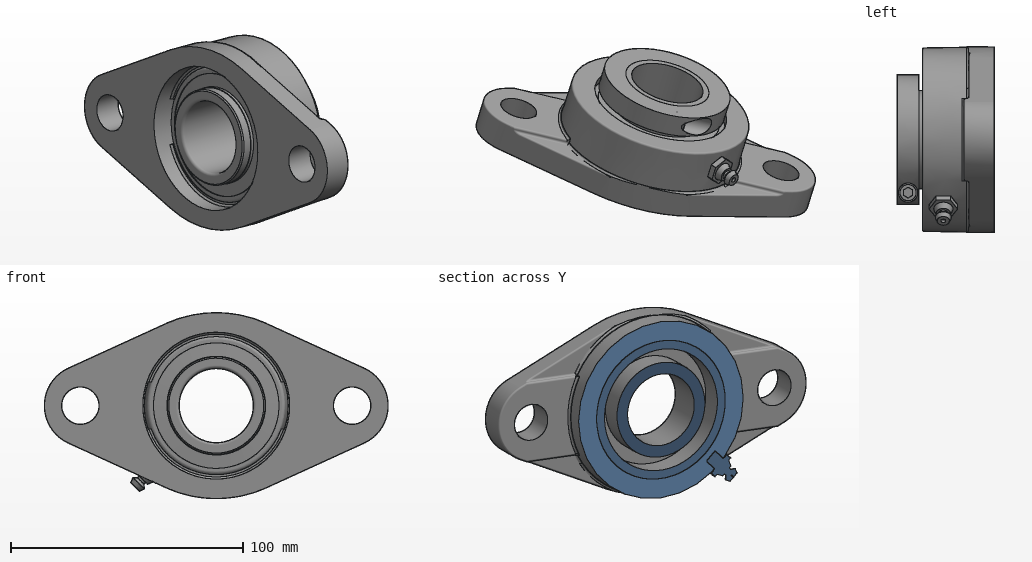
import cadquery as cq
import math


LENGTH = 148.0
HEIGHT = 80.0
EAR_RADIUS = 17.8
MIDDLE_ARC_RADIUS = 52.2
WEB_THICKNESS = 11.0
EAR_THICKNESS = 13.0
FLANGE_EDGE_FILLET = 0.7
STEP_FILLET = 0.9
BOLT_SPACING = 116.9
BOLT_HOLE_DIAMETER = 16.0

BARREL_BASE_DIAMETER = 79.9
BARREL_REAR_DIAMETER = 79.0
BARREL_REAR = 31.0
BARREL_EDGE_FILLET = 0.9
ROOT_FILLET = 0.9

RECESS_DIAMETER = 63.2
RECESS_DEPTH = 8.9
RECESS_CORNER_CHAMFER = 0.9
LOADING_SLOT_HEIGHT = 20.3

BEARING_CENTRE = 17.8
SPHERE_DIAMETER = 62.0
OUTER_RING_WIDTH = 20.0
OUTER_RING_BORE = 54.0
OUTER_RING_EDGE_FILLET = 1.3
INNER_RING_DIAMETER = 42.5
INNER_RING_NOSE_DIAMETER = 42.0
INNER_RING_NOSE_END = 6.2
INNER_RING_BORE = 31.8
INNER_RING_FRONT = 1.6
INNER_RING_CHAMFER = 0.6
INNER_RING_BORE_FILLET = 1.3
SEAL_SETBACK = 0.5
SEAL_THICKNESS = 1.8

COLLAR_DIAMETER = 56.0
COLLAR_FRONT = 32.4
COLLAR_REAR = 41.7
COLLAR_BORE = 37.0

SCREW_DROP = 22.8
POCKET_DIAMETER = 8.3
POCKET_FLOOR_X = -4.5
SCREW_HEAD_DIAMETER = 7.0
SCREW_HEAD_LENGTH = 4.5
SCREW_SHANK_DIAMETER = 4.0
SCREW_SHANK_LENGTH = 13.3
SCREW_SOCKET_FLATS = 4.0
SCREW_SOCKET_DEPTH = 2.2

FITTING_Y = 21.9
FITTING_ANGLE = 45.0
FITTING_SHANK_DIAMETER = 5.9
FITTING_SHANK_START = 34.0
FITTING_HEX_FLATS = 10.7
FITTING_HEX_START = 39.5
FITTING_HEX_END = 42.2
FITTING_CONE_DIAMETER = 8.3
FITTING_CONE_TOP_DIAMETER = 6.0
FITTING_CONE_END = 44.8
FITTING_NECK_DIAMETER = 4.0
FITTING_NECK_END = 45.9
FITTING_HEAD_DIAMETER = 7.0
FITTING_HEAD_MIDDLE = 47.2
FITTING_TIP_DIAMETER = 5.3
FITTING_TIP = 49.5
FITTING_HOLE_DIAMETER = 2.0
FITTING_HOLE_DEPTH = 1.5


def plane_at(y):
    """Plane across the bearing axis, with its normal along +Y and its first axis along +X."""
    return cq.Workplane(cq.Plane(origin=(0, y, 0), xDir=(1, 0, 0), normal=(0, 1, 0)))


def disc(diameter, start, end):
    return plane_at(start).circle(diameter / 2).extrude(end - start)


def tube(outer, inner, start, end):
    return plane_at(start).circle(outer / 2).circle(inner / 2).extrude(end - start)


def flange_outline(thickness):
    """Two round ears joined to shallow middle arcs by tangent straight sides."""
    ear_x = LENGTH / 2 - EAR_RADIUS
    arc_drop = MIDDLE_ARC_RADIUS - HEIGHT / 2
    centre_distance = math.hypot(ear_x, arc_drop)
    normal_angle = math.atan2(arc_drop, ear_x) + math.acos(
        (MIDDLE_ARC_RADIUS - EAR_RADIUS) / centre_distance
    )
    across = math.cos(normal_angle)
    along = math.sin(normal_angle)
    middle_x = MIDDLE_ARC_RADIUS * across
    middle_z = MIDDLE_ARC_RADIUS * along - arc_drop
    side_x = ear_x + EAR_RADIUS * across
    side_z = EAR_RADIUS * along
    return (
        plane_at(0)
        .moveTo(-middle_x, middle_z)
        .threePointArc((0, HEIGHT / 2), (middle_x, middle_z))
        .lineTo(side_x, side_z)
        .threePointArc((LENGTH / 2, 0), (side_x, -side_z))
        .lineTo(middle_x, -middle_z)
        .threePointArc((0, -HEIGHT / 2), (-middle_x, -middle_z))
        .lineTo(-side_x, -side_z)
        .threePointArc((-LENGTH / 2, 0), (-side_x, side_z))
        .close()
        .extrude(thickness)
    )


def strip_band(thickness):
    """Block as high as the ears that runs the length of the flange, on both sides of Y = 0."""
    return cq.Workplane("XY").box(LENGTH, 2 * thickness, 2 * EAR_RADIUS)


def make_flange():
    """Flange with a thicker strip from ear to ear, rounded at its steps and rear outline."""
    web = cq.Workplane("XY").box(LENGTH, 2 * WEB_THICKNESS, HEIGHT)
    strip = strip_band(EAR_THICKNESS)
    stepped = web.union(strip)
    step_zone = cq.selectors.BoxSelector(
        (-LENGTH, WEB_THICKNESS / 2, -EAR_RADIUS - STEP_FILLET),
        (LENGTH, LENGTH, EAR_RADIUS + STEP_FILLET),
    )
    stepped = stepped.edges("|X").edges(step_zone).fillet(STEP_FILLET)
    flange = flange_outline(EAR_THICKNESS).intersect(stepped)
    rear_outline = flange.edges("not (|X or |Y or <Y)")
    return rear_outline.fillet(FLANGE_EDGE_FILLET)


def root_fillet(floor):
    """Ring that rounds the corner between the barrel and a flange face at the given height."""
    radius = BARREL_BASE_DIAMETER / 2
    corner = radius + ROOT_FILLET
    top = floor + ROOT_FILLET
    sag = ROOT_FILLET * (1 - math.sqrt(0.5))
    return (
        cq.Workplane("XY")
        .moveTo(radius - ROOT_FILLET, 0)
        .lineTo(corner, 0)
        .lineTo(corner, floor)
        .threePointArc((radius + sag, floor + sag), (radius, top))
        .lineTo(radius - ROOT_FILLET, top)
        .close()
        .revolve(360, (0, 0, 0), (0, 1, 0))
    )


def make_barrel():
    barrel = (
        cq.Workplane("XY")
        .lineTo(BARREL_BASE_DIAMETER / 2, 0)
        .lineTo(BARREL_REAR_DIAMETER / 2, BARREL_REAR)
        .lineTo(0, BARREL_REAR)
        .close()
        .revolve(360, (0, 0, 0), (0, 1, 0))
    )
    return barrel.faces(">Y").edges().fillet(BARREL_EDGE_FILLET)


def spherical_radius(y):
    """Radius of the bearing's sphere at a position along the axis."""
    return math.sqrt((SPHERE_DIAMETER / 2) ** 2 - (y - BEARING_CENTRE) ** 2)


def bearing_seat():
    """Stepped and spherical space inside the housing, with its two loading slots."""
    ring_rear = BEARING_CENTRE + OUTER_RING_WIDTH / 2
    recess = RECESS_DIAMETER / 2
    chamfer_start = RECESS_DEPTH - RECESS_CORNER_CHAMFER
    front_lip = spherical_radius(RECESS_DEPTH)
    rear_bore = spherical_radius(ring_rear)
    seat = (
        cq.Workplane("XY")
        .lineTo(recess, 0)
        .lineTo(recess, chamfer_start)
        .lineTo(recess - RECESS_CORNER_CHAMFER, RECESS_DEPTH)
        .lineTo(front_lip, RECESS_DEPTH)
        .threePointArc((SPHERE_DIAMETER / 2, BEARING_CENTRE), (rear_bore, ring_rear))
        .lineTo(rear_bore, BARREL_REAR)
        .lineTo(0, BARREL_REAR)
        .close()
        .revolve(360, (0, 0, 0), (0, 1, 0))
    )
    slot_band = cq.Workplane("XY").box(LENGTH, 2 * BEARING_CENTRE, LOADING_SLOT_HEIGHT)
    slots = disc(RECESS_DIAMETER, chamfer_start, BEARING_CENTRE).intersect(slot_band)
    return seat.union(slots)


def make_housing(fitting):
    web_root = root_fillet(WEB_THICKNESS).intersect(flange_outline(BARREL_REAR))
    strip_root = root_fillet(EAR_THICKNESS).intersect(strip_band(BARREL_REAR))
    body = make_flange().union(web_root).union(strip_root).union(make_barrel())
    bolt_holes = (
        plane_at(0)
        .pushPoints([(-BOLT_SPACING / 2, 0), (BOLT_SPACING / 2, 0)])
        .circle(BOLT_HOLE_DIAMETER / 2)
        .extrude(EAR_THICKNESS)
    )
    return body.cut(bolt_holes).cut(bearing_seat()).cut(fitting)


def make_outer_ring():
    front = BEARING_CENTRE - OUTER_RING_WIDTH / 2
    rear = BEARING_CENTRE + OUTER_RING_WIDTH / 2
    face_radius = spherical_radius(front)
    blank = (
        cq.Workplane("XY")
        .moveTo(0, front)
        .lineTo(face_radius, front)
        .threePointArc((SPHERE_DIAMETER / 2, BEARING_CENTRE), (face_radius, rear))
        .lineTo(0, rear)
        .close()
        .revolve(360, (0, 0, 0), (0, 1, 0))
    )
    blank = blank.faces("<Y or >Y").edges().fillet(OUTER_RING_EDGE_FILLET)
    return blank.cut(disc(OUTER_RING_BORE, front, rear))


def make_inner_ring():
    nose = disc(INNER_RING_NOSE_DIAMETER, INNER_RING_FRONT, INNER_RING_NOSE_END)
    nose = nose.faces("<Y").edges().chamfer(INNER_RING_CHAMFER)
    body = nose.union(disc(INNER_RING_DIAMETER, INNER_RING_NOSE_END, COLLAR_FRONT))
    body = body.union(disc(COLLAR_BORE, COLLAR_FRONT, COLLAR_REAR))
    ring = body.cut(disc(INNER_RING_BORE, INNER_RING_FRONT, COLLAR_REAR))
    bore_edge = ring.faces("<Y").edges(cq.selectors.RadiusNthSelector(0))
    return bore_edge.fillet(INNER_RING_BORE_FILLET)


def make_seal(side):
    """Shield that slopes outwards to the inner ring; side is -1 for the front, 1 for the rear."""
    outer_radius = OUTER_RING_BORE / 2
    inner_radius = INNER_RING_DIAMETER / 2
    ring_face = BEARING_CENTRE + side * OUTER_RING_WIDTH / 2
    outer_edge = ring_face - side * SEAL_SETBACK
    hidden_face = outer_edge - side * SEAL_THICKNESS
    return (
        cq.Workplane("XY")
        .moveTo(inner_radius, hidden_face)
        .lineTo(outer_radius, hidden_face)
        .lineTo(outer_radius, outer_edge)
        .lineTo(inner_radius, ring_face)
        .close()
        .revolve(360, (0, 0, 0), (0, 1, 0))
    )


def screw_cylinder(diameter, start, end):
    """Cylinder on the axis of the cap screw between two X positions."""
    collar_middle = (COLLAR_FRONT + COLLAR_REAR) / 2
    plane = cq.Plane(origin=(start, collar_middle, -SCREW_DROP), xDir=(0, 1, 0), normal=(1, 0, 0))
    return cq.Workplane(plane).circle(diameter / 2).extrude(end - start)


def make_cap_screw():
    head_end = POCKET_FLOOR_X - SCREW_HEAD_LENGTH
    shank_end = POCKET_FLOOR_X + SCREW_SHANK_LENGTH
    socket_corners = SCREW_SOCKET_FLATS / math.cos(math.pi / 6)
    head = screw_cylinder(SCREW_HEAD_DIAMETER, head_end, POCKET_FLOOR_X)
    shank = screw_cylinder(SCREW_SHANK_DIAMETER, POCKET_FLOOR_X, shank_end)
    socket = (
        head.faces("<X").workplane(centerOption="CenterOfMass")
        .transformed(rotate=(0, 0, 90))
        .polygon(6, socket_corners)
        .extrude(-SCREW_SOCKET_DEPTH, combine=False)
    )
    return head.union(shank).cut(socket)


def make_collar(cap_screw):
    ring = tube(COLLAR_DIAMETER, COLLAR_BORE, COLLAR_FRONT, COLLAR_REAR)
    pocket = screw_cylinder(POCKET_DIAMETER, -COLLAR_DIAMETER / 2, POCKET_FLOOR_X)
    return ring.cut(pocket).cut(cap_screw)


def make_grease_fitting():
    """Fitting built upright on +Z, then swung about the bearing axis to its place."""
    turned = (
        cq.Workplane("XZ")
        .moveTo(0, FITTING_SHANK_START)
        .lineTo(FITTING_SHANK_DIAMETER / 2, FITTING_SHANK_START)
        .lineTo(FITTING_SHANK_DIAMETER / 2, FITTING_HEX_END)
        .lineTo(FITTING_CONE_DIAMETER / 2, FITTING_HEX_END)
        .lineTo(FITTING_CONE_TOP_DIAMETER / 2, FITTING_CONE_END)
        .lineTo(FITTING_NECK_DIAMETER / 2, FITTING_CONE_END)
        .lineTo(FITTING_NECK_DIAMETER / 2, FITTING_NECK_END)
        .lineTo(FITTING_HEAD_DIAMETER / 2, FITTING_HEAD_MIDDLE)
        .lineTo(FITTING_TIP_DIAMETER / 2, FITTING_TIP)
        .lineTo(0, FITTING_TIP)
        .close()
        .revolve(360, (0, 0, 0), (0, 1, 0))
    )
    hexagon = (
        cq.Workplane("XY", origin=(0, 0, FITTING_HEX_START))
        .transformed(rotate=(0, 0, 90))
        .polygon(6, FITTING_HEX_FLATS / math.cos(math.pi / 6))
        .extrude(FITTING_HEX_END - FITTING_HEX_START)
    )
    hole = (
        cq.Workplane("XY", origin=(0, 0, FITTING_TIP))
        .circle(FITTING_HOLE_DIAMETER / 2)
        .extrude(-FITTING_HOLE_DEPTH)
    )
    fitting = turned.union(hexagon).cut(hole)
    swing = 180 + FITTING_ANGLE
    return fitting.rotate((0, 0, 0), (0, 1, 0), swing).translate((0, FITTING_Y, 0))


grease_fitting = make_grease_fitting()
housing = make_housing(grease_fitting)
outer_ring = make_outer_ring()
inner_ring = make_inner_ring()
seals = [make_seal(side) for side in (-1, 1)]
cap_screw = make_cap_screw()
collar = make_collar(cap_screw)

result = cq.Compound.makeCompound(
    [
        housing.val(),
        outer_ring.val(),
        inner_ring.val(),
        *[seal.val() for seal in seals],
        collar.val(),
        cap_screw.val(),
        grease_fitting.val(),
    ]
)